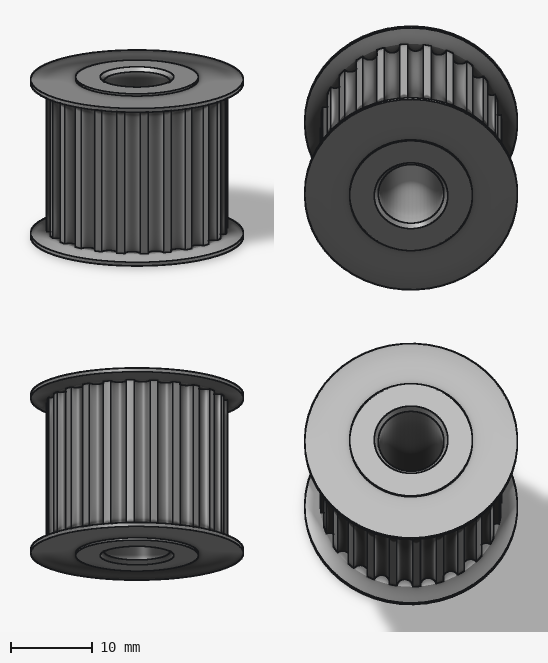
import cadquery as cq

height = 20.6
flange_diameter = 26.0

hub_diameter = 15.0
hub_projection = 0.29
bore_diameter = 8.0
bore_chamfer = 0.5

rim_thickness = 0.5
cone_height = 0.52

tooth_count = 24
tooth_tip_diameter = 22.15
groove_radius = 0.95

flange_radius = flange_diameter / 2
tooth_tip_radius = tooth_tip_diameter / 2
flange_thickness = rim_thickness + cone_height
flange_top = height / 2 - hub_projection
belt_face_top = flange_top - flange_thickness
belt_width = 2 * belt_face_top


def cylinder(diameter, length):
    """Z-axis cylinder centred on the origin."""
    return cq.Workplane("XY", origin=(0, 0, -length / 2)).circle(diameter / 2).extrude(length)


def upper_flange():
    """Disc whose belt-side face slopes away from the teeth towards the rim."""
    profile = [
        (0, flange_top),
        (flange_radius, flange_top),
        (flange_radius, flange_top - rim_thickness),
        (tooth_tip_radius, belt_face_top),
        (0, belt_face_top),
    ]
    return cq.Workplane("XZ").polyline(profile).close().revolve(360, (0, 0), (0, 1))


def belt_grooves():
    """Half-round grooves, centred on the tooth tip circle and evenly spaced around it."""
    return (
        cq.Workplane("XY", origin=(0, 0, -belt_face_top))
        .polarArray(tooth_tip_radius, 0, 360, tooth_count)
        .circle(groove_radius)
        .extrude(belt_width)
    )


toothed_body = cylinder(tooth_tip_diameter, belt_width).cut(belt_grooves())
flange = upper_flange()

result = (
    toothed_body
    .union(cylinder(hub_diameter, height))
    .union(flange)
    .union(flange.mirror("XY"))
    .cut(cylinder(bore_diameter, height))
)

bore_mouths = cq.selectors.RadiusNthSelector(0)
result = result.faces("<Z or >Z").edges(bore_mouths).chamfer(bore_chamfer)